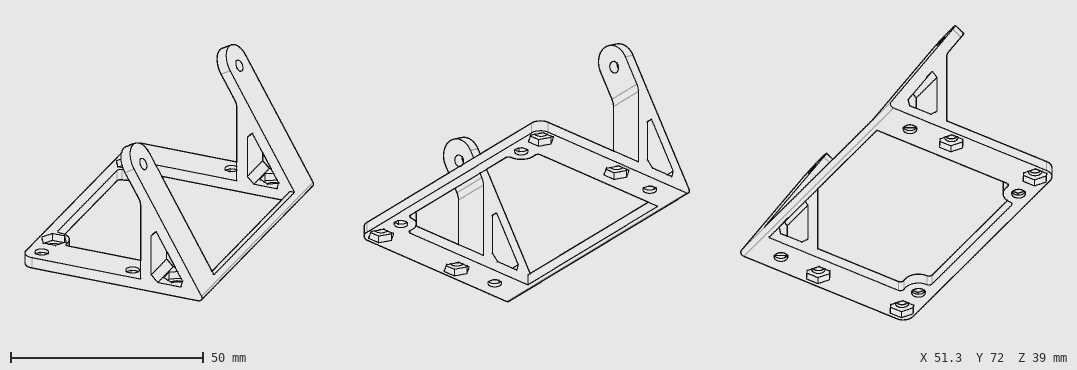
import cadquery as cq
import math

depth = 51.3
width = 72.0
height = 38.95
thickness = 3.0
corner_radius = 3.0
front_bar_width = 3.0
rear_bar_front = 48.95

arm_width = 10.0
arm_angle = math.radians(60)
post_front = 33.85
bend_radius = 4.0
rear_edge_radius = 1.0
arm_hole_diameter = 3.0
arm_hole_from_tip = 5.8

window_front_cut = 1.9
window_top_cut = 1.45
window_rear_cut = 1.5
window_rear_cut_height = 1.8

hole_diameter = 3.5
hole_inset = 4.0
rear_hole_x = 29.8
nut_flats = 6.0
nut_depth = 2.0
front_nut_y = 11.95
window_nut_x = 42.0
window_nut_turn = 30
boss_radius = 4.0
boss_fillet = 1.0

slope = math.tan(arm_angle)
cosine = math.cos(arm_angle)
sine = math.sin(arm_angle)
sharp_rear_x = depth + rear_edge_radius * (1 / math.tan(arm_angle / 2) - 1)
tip_x = sharp_rear_x - height / slope
inner_base_x = sharp_rear_x - thickness / sine
arm_middle_y = arm_width / 2
nut_corners = nut_flats / math.cos(math.pi / 6)


def with_mirror(shape):
    """Join a shape on the -Y bracket with its mirror image on the +Y bracket."""
    return shape.union(shape.mirror("XZ", (0, width / 2, 0)))


def block(x_range, y_range, z_range):
    """Box spanning the given ranges."""
    sizes = [end - start for start, end in (x_range, y_range, z_range)]
    corner = (x_range[0], y_range[0], z_range[0])
    return cq.Workplane("XY").box(*sizes, centered=False).translate(corner)


def nearest_edge(x, y, z):
    return cq.selectors.NearestToPointSelector((x, y, z))


def inner_face_x(z):
    """X of the arm's inner face at a height."""
    return inner_base_x - z / slope


def inner_face_z(x):
    """Height of the arm's inner face at an X."""
    return (inner_base_x - x) * slope


def make_side_profile():
    """Base, post and arm outline, carried across the whole width."""
    bend_z = inner_face_z(post_front)
    outline = [
        (0, 0),
        (sharp_rear_x, 0),
        (tip_x, height),
        (tip_x - thickness * sine, height - thickness * cosine),
        (post_front, bend_z),
        (post_front, thickness),
        (0, thickness),
    ]
    profile = cq.Workplane("XZ").polyline(outline).close().extrude(-width)
    profile = profile.edges(nearest_edge(sharp_rear_x, width / 2, 0)).fillet(rear_edge_radius)
    profile = profile.edges(nearest_edge(post_front, width / 2, bend_z)).fillet(bend_radius)
    return profile.edges("|Z and <X").fillet(corner_radius)


def make_opening():
    """Space between the brackets, around the nut bosses and in front of the rear bar."""
    between = (arm_width, width - arm_width)
    opening = block((front_bar_width, rear_bar_front), between, (0, height))
    boss = cq.Workplane("XY").center(hole_inset, front_nut_y).circle(boss_radius).extrude(height)
    opening = opening.cut(with_mirror(boss))

    side_meet_x = hole_inset + math.sqrt(boss_radius**2 - (front_nut_y - arm_width) ** 2)
    bar_meet_y = front_nut_y + math.sqrt(boss_radius**2 - (hole_inset - front_bar_width) ** 2)
    for x, y in [(side_meet_x, arm_width), (front_bar_width, bar_meet_y)]:
        for corner_y in (y, width - y):
            opening = opening.edges(nearest_edge(x, corner_y, height / 2)).fillet(boss_fillet)

    return opening.union(block((front_bar_width, sharp_rear_x), between, (thickness, height)))


def make_window():
    """Opening bounded by the post, the base and the arm, through both brackets."""
    front = post_front + thickness
    peak_x = front + window_top_cut
    peak_z = inner_face_z(peak_x)
    rear_cut_z = thickness + window_rear_cut_height
    outline = [
        (front, thickness + window_front_cut),
        (front + window_front_cut, thickness),
        (inner_face_x(thickness) - window_rear_cut, thickness),
        (inner_face_x(rear_cut_z), rear_cut_z),
        (peak_x, peak_z),
        (front, peak_z - window_top_cut),
    ]
    return cq.Workplane("XZ").polyline(outline).close().extrude(-width)


def make_screw_hole(x, y, nut_floor, nut_turn=0):
    """Through hole with a hexagonal nut pocket from the height nut_floor, turned in degrees about Z."""
    hole = cq.Workplane("XY").center(x, y).circle(hole_diameter / 2).extrude(thickness)
    pocket = cq.Workplane("XY").polygon(6, nut_corners).extrude(nut_depth)
    pocket = pocket.rotate((0, 0, 0), (0, 0, 1), nut_turn).translate((x, y, nut_floor))
    return with_mirror(hole.union(pocket))


def make_arm_tool(distance, radius):
    """Cylinder square through the arm, centred at a distance from its tip."""
    centre = (tip_x + distance * cosine, arm_middle_y, height - distance * sine)
    plane = cq.Plane(origin=centre, xDir=(0, 1, 0), normal=(-sine, 0, -cosine))
    return cq.Workplane(plane).circle(radius).extrude(thickness)


def make_arm_end_waste():
    """Material outside the semicircular end of the arm."""
    plane = cq.Plane(origin=(tip_x, arm_middle_y, height), xDir=(0, 1, 0), normal=(-sine, 0, -cosine))
    square_end = cq.Workplane(plane).rect(arm_width, arm_width).extrude(thickness)
    return with_mirror(square_end.cut(make_arm_tool(arm_middle_y, arm_middle_y)))


result = make_side_profile()
result = result.cut(make_opening())
result = result.cut(make_window())
result = result.cut(make_arm_end_waste())
result = result.cut(with_mirror(make_arm_tool(arm_hole_from_tip, arm_hole_diameter / 2)))

upper_nut_floor = thickness - nut_depth
result = result.cut(make_screw_hole(hole_inset, front_nut_y, upper_nut_floor))
result = result.cut(make_screw_hole(window_nut_x, arm_middle_y, upper_nut_floor, window_nut_turn))

for x in (hole_inset, rear_hole_x):
    result = result.cut(make_screw_hole(x, hole_inset, 0))